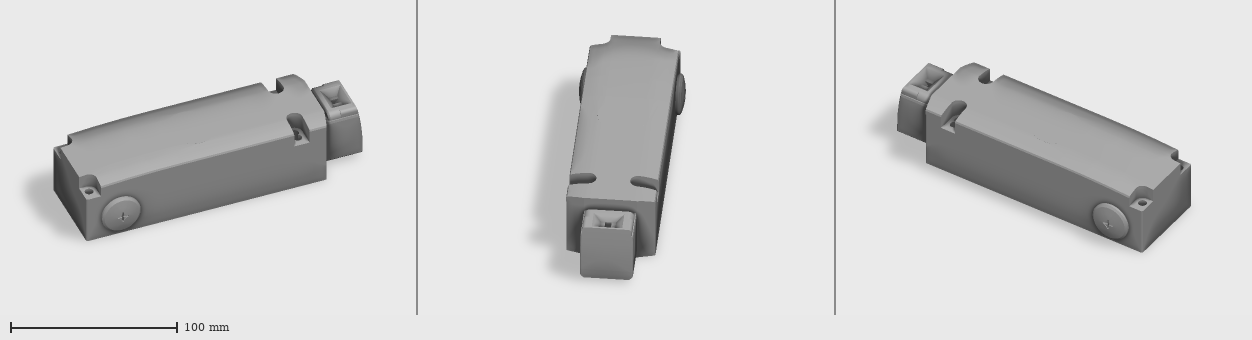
import cadquery as cq

TOTAL_LENGTH = 184.1
HEIGHT = 43.8

BODY_WIDTH = 54.0
BODY_LENGTH = 158.9
HALF_WIDTH = BODY_WIDTH / 2
REAR_FLAT_HALF = 16.0
REAR_SIDE_Y = 156.0
HOUSING_EDGE_FILLET = 1.1

CROWN_FLAT_HALF = 12.5
CROWN_DROP = 2.2
EDGE_BEVEL_WIDTH = 0.5
EDGE_BEVEL_DROP = 1.1
BEND_Y = 61.3
TOP_FRONT_DROP = 2.8
FRONT_TURN = 6.0
PARTING_Z = 37.7
PARTING_FRONT_DROP = 5.0

PAD_Y = 78.8
PAD_HALF_LENGTH = 9.0
PAD_REACH = 15.6

POCKET_FLOOR_Z = 32.2
POCKET_RADIUS = 5.0
HOLE_DIAMETER = 5.3
HOLE_SPACING_ACROSS = 40.0
OUTER_HOLE_X = HOLE_SPACING_ACROSS / 2
HOLE_PITCH = 4.8
INNER_HOLE_X = OUTER_HOLE_X - HOLE_PITCH
FRONT_HOLE_Y = 4.5
REAR_HOLE_Y = 140.0

HEAD_HALF_WIDTH = 16.0
HEAD_BOTTOM_Z = 2.8
HEAD_SHOULDER_Z = 34.5
HEAD_TOP_Z = 38.8
HEAD_BACK_BEND_Z = 9.2
HEAD_TOP_BACK_Y = 180.6
HEAD_BACK_FILLET = 1.1
HEAD_UPPER_BEVEL_WIDTH = 0.4
HEAD_UPPER_BEVEL_DROP = 1.7
HEAD_LOWER_BEVEL = 2.2
CAP_HALF_WIDTH = 15.1
CAP_FRONT_Y = 162.2
CAP_FRONT_BEVEL = 1.1
CAP_STEP_Y = 170.1
CAP_FRONT_RADIUS = 3.9
CAP_REAR_RADIUS = 2.2
NECK_PAD_HALF_WIDTH = 13.6
NECK_PAD_HEIGHT = 0.4

FUNNEL_TOP_HALF = 9.2
FUNNEL_TOP_FRONT_Y = 166.0
FUNNEL_TOP_BACK_Y = 179.3
FUNNEL_LEDGE_HALF = 4.6
FUNNEL_LEDGE_FRONT_Y = 170.1
FUNNEL_LEDGE_BACK_Y = 175.6
FUNNEL_DEPTH = 3.7
KEY_SLOT_WIDTH = 3.9
KEY_SLOT_BACK_Y = 173.0

PLUG_Y = 21.7
PLUG_Z = 16.0
PLUG_HEIGHT = 5.2
PLUG_NECK_RADIUS = 11.8
PLUG_NECK_HEIGHT = 0.7
PLUG_RIM_RADIUS = 12.5
PLUG_RIM_TOP = 2.2
PLUG_DOME_RADIUS = 11.2
PLUG_DOME_BASE = 3.3
CROSS_LENGTH = 7.0
CROSS_WIDTH = 1.1
CROSS_DEPTH = 1.8
DIAMOND_LENGTH = 6.3
DIAMOND_DEPTH = 0.5


def arc_radius(run, drop):
    """Radius of an arc that starts level and falls by `drop` over `run`."""
    return (run**2 + drop**2) / (2 * drop)


def arc_drop(radius, run):
    """Fall of such an arc at a distance `run` from its level start."""
    return radius - (radius**2 - run**2) ** 0.5


def box(x0, x1, y0, y1, z0, z1):
    return cq.Workplane("XY").box(x1 - x0, y1 - y0, z1 - z0, centered=False).translate((x0, y0, z0))


def body_prism():
    """Full-height prism on the body outline, whose rear corners are cut back at a slant."""
    outline = [
        (-HALF_WIDTH, 0),
        (HALF_WIDTH, 0),
        (HALF_WIDTH, REAR_SIDE_Y),
        (REAR_FLAT_HALF, BODY_LENGTH),
        (-REAR_FLAT_HALF, BODY_LENGTH),
        (-HALF_WIDTH, REAR_SIDE_Y),
    ]
    return cq.Workplane("XY").polyline(outline).close().extrude(HEIGHT)


def below_parting():
    """Everything below the parting surface, which is level at the rear and falls to the front."""
    radius = arc_radius(BEND_Y, PARTING_FRONT_DROP)
    middle_z = PARTING_Z - arc_drop(radius, BEND_Y / 2)
    return (
        cq.Workplane("YZ")
        .moveTo(0, 0)
        .lineTo(BODY_LENGTH, 0)
        .lineTo(BODY_LENGTH, PARTING_Z)
        .lineTo(BEND_Y, PARTING_Z)
        .threePointArc((BEND_Y / 2, middle_z), (0, PARTING_Z - PARTING_FRONT_DROP))
        .close()
        .extrude(HALF_WIDTH, both=True)
    )


def crown_section():
    """Cross-section under the lid top: flat middle, falling arcs and bevelled long edges."""
    edge_x = HALF_WIDTH - EDGE_BEVEL_WIDTH
    edge_z = HEIGHT - CROWN_DROP
    run = edge_x - CROWN_FLAT_HALF
    middle_x = CROWN_FLAT_HALF + run / 2
    middle_z = HEIGHT - arc_drop(arc_radius(run, CROWN_DROP), run / 2)
    return (
        cq.Workplane("XZ", origin=(0, BEND_Y, 0))
        .moveTo(-HALF_WIDTH, 0)
        .lineTo(HALF_WIDTH, 0)
        .lineTo(HALF_WIDTH, edge_z - EDGE_BEVEL_DROP)
        .lineTo(edge_x, edge_z)
        .threePointArc((middle_x, middle_z), (CROWN_FLAT_HALF, HEIGHT))
        .lineTo(-CROWN_FLAT_HALF, HEIGHT)
        .threePointArc((-middle_x, middle_z), (-edge_x, edge_z))
        .lineTo(-HALF_WIDTH, edge_z - EDGE_BEVEL_DROP)
        .close()
    )


def crown_envelope():
    """The crown section run straight to the rear and round a large arc to the front."""
    radius = arc_radius(BEND_Y, TOP_FRONT_DROP)
    axis_z = HEIGHT - radius
    rear = crown_section().extrude(-(BODY_LENGTH - BEND_Y))
    front = crown_section().revolve(FRONT_TURN, (0, axis_z, 0), (1, axis_z, 0))
    return rear.union(front)


def lid_pads():
    """Two level arc-edged pads, one on each side of the flat strip."""
    pads = (
        cq.Workplane("XY", origin=(0, 0, HEIGHT - CROWN_DROP))
        .moveTo(CROWN_FLAT_HALF, PAD_Y - PAD_HALF_LENGTH)
        .threePointArc((PAD_REACH, PAD_Y), (CROWN_FLAT_HALF, PAD_Y + PAD_HALF_LENGTH))
        .close()
        .extrude(CROWN_DROP)
    )
    return pads.union(pads.mirror("YZ"))


def screw_pocket(hole_x, hole_y, opens_front):
    """Pocket rounded about a hole and open to the +X side, and to the front end if asked."""
    radius = POCKET_RADIUS
    pocket = (
        cq.Workplane("XY", origin=(hole_x, hole_y, POCKET_FLOOR_Z))
        .circle(radius)
        .extrude(HEIGHT - POCKET_FLOOR_Z)
    )
    front_y = 0 if opens_front else hole_y - radius
    pocket = pocket.union(box(hole_x, HALF_WIDTH, front_y, hole_y + radius, POCKET_FLOOR_Z, HEIGHT))
    if opens_front:
        pocket = pocket.union(box(hole_x - radius, hole_x, 0, hole_y, POCKET_FLOOR_Z, HEIGHT))
    return pocket


def mounting_cuts():
    """Pockets and through holes of both sides."""
    hole_places = [
        (OUTER_HOLE_X, FRONT_HOLE_Y),
        (OUTER_HOLE_X, REAR_HOLE_Y),
        (INNER_HOLE_X, REAR_HOLE_Y),
    ]
    front_pocket = screw_pocket(OUTER_HOLE_X, FRONT_HOLE_Y, opens_front=True)
    rear_pocket = screw_pocket(INNER_HOLE_X, REAR_HOLE_Y, opens_front=False)
    cuts = front_pocket.union(rear_pocket)
    for x, y in hole_places:
        cuts = cuts.union(cq.Workplane("XY", origin=(x, y, 0)).circle(HOLE_DIAMETER / 2).extrude(HEIGHT))
    return cuts.union(cuts.mirror("YZ"))


def head_profile():
    """Side profile of the head, with its back wall leaning in along an arc, as a wide slab."""
    rise = HEAD_TOP_Z - HEAD_BACK_BEND_Z
    lean = TOTAL_LENGTH - HEAD_TOP_BACK_Y
    middle_y = TOTAL_LENGTH - arc_drop(arc_radius(rise, lean), rise / 2)
    slab = (
        cq.Workplane("YZ")
        .moveTo(BODY_LENGTH, HEAD_BOTTOM_Z)
        .lineTo(TOTAL_LENGTH, HEAD_BOTTOM_Z)
        .lineTo(TOTAL_LENGTH, HEAD_BACK_BEND_Z)
        .threePointArc((middle_y, HEAD_BACK_BEND_Z + rise / 2), (HEAD_TOP_BACK_Y, HEAD_TOP_Z))
        .lineTo(BODY_LENGTH, HEAD_TOP_Z)
        .close()
        .extrude(HEAD_HALF_WIDTH, both=True)
    )
    back_corners = slab.faces("<X or >X").edges("(not #Z) and (not <Y)")
    return back_corners.fillet(HEAD_BACK_FILLET)


def head_block():
    """Section of the lower head, bevelled along its long edges, over the whole head length."""
    section = [
        (HEAD_HALF_WIDTH - HEAD_LOWER_BEVEL, HEAD_BOTTOM_Z),
        (HEAD_HALF_WIDTH, HEAD_BOTTOM_Z + HEAD_LOWER_BEVEL),
        (HEAD_HALF_WIDTH, HEAD_SHOULDER_Z - HEAD_UPPER_BEVEL_DROP),
        (HEAD_HALF_WIDTH - HEAD_UPPER_BEVEL_WIDTH, HEAD_SHOULDER_Z),
    ]
    mirrored = [(-x, z) for x, z in reversed(section)]
    rear_wall = cq.Workplane("XZ", origin=(0, BODY_LENGTH, 0))
    return rear_wall.polyline(section + mirrored).close().extrude(BODY_LENGTH - TOTAL_LENGTH)


def cap_piece(front_y, back_y, edge_radius):
    """Stretch of the raised cap with rounded long edges."""
    piece = box(-CAP_HALF_WIDTH, CAP_HALF_WIDTH, front_y, back_y, HEAD_SHOULDER_Z, HEAD_TOP_Z)
    return piece.edges("|Y and >Z").fillet(edge_radius)


def key_opening():
    """Funnel with a level ledge, and a slot through the head that carries on the funnel's back slope."""
    top_y = (FUNNEL_TOP_FRONT_Y + FUNNEL_TOP_BACK_Y) / 2
    ledge_y = (FUNNEL_LEDGE_FRONT_Y + FUNNEL_LEDGE_BACK_Y) / 2
    funnel = (
        cq.Workplane("XY", origin=(0, top_y, HEAD_TOP_Z))
        .rect(2 * FUNNEL_TOP_HALF, FUNNEL_TOP_BACK_Y - FUNNEL_TOP_FRONT_Y)
        .workplane(offset=-FUNNEL_DEPTH)
        .center(0, ledge_y - top_y)
        .rect(2 * FUNNEL_LEDGE_HALF, FUNNEL_LEDGE_BACK_Y - FUNNEL_LEDGE_FRONT_Y)
        .loft(ruled=True)
    )
    ledge_z = HEAD_TOP_Z - FUNNEL_DEPTH
    back_slope = FUNNEL_DEPTH / (FUNNEL_TOP_BACK_Y - FUNNEL_LEDGE_BACK_Y)
    slope_end_z = ledge_z - back_slope * (FUNNEL_LEDGE_BACK_Y - KEY_SLOT_BACK_Y)
    slot_profile = [
        (FUNNEL_LEDGE_FRONT_Y, HEAD_BOTTOM_Z),
        (KEY_SLOT_BACK_Y, HEAD_BOTTOM_Z),
        (KEY_SLOT_BACK_Y, slope_end_z),
        (FUNNEL_LEDGE_BACK_Y, ledge_z),
        (FUNNEL_LEDGE_FRONT_Y, ledge_z),
    ]
    slot = cq.Workplane("YZ").polyline(slot_profile).close().extrude(KEY_SLOT_WIDTH / 2, both=True)
    return funnel.union(slot)


def make_head():
    front_cap = cap_piece(CAP_FRONT_Y, CAP_STEP_Y, CAP_FRONT_RADIUS)
    front_cap = front_cap.faces("<Y").edges(">Z").chamfer(CAP_FRONT_BEVEL)
    rear_cap = cap_piece(CAP_STEP_Y, TOTAL_LENGTH, CAP_REAR_RADIUS)
    neck_pad = box(
        -NECK_PAD_HALF_WIDTH,
        NECK_PAD_HALF_WIDTH,
        BODY_LENGTH,
        CAP_FRONT_Y,
        HEAD_SHOULDER_Z,
        HEAD_SHOULDER_Z + NECK_PAD_HEIGHT,
    )
    full_head = head_block().union(front_cap).union(rear_cap).union(neck_pad)
    solid_head = full_head.intersect(head_profile())
    return solid_head.cut(key_opening())


def make_housing():
    """Housing with its flush lid and the head on its rear wall, as one solid."""
    rounded_prism = body_prism().edges("|Z").edges("<X or >X").fillet(HOUSING_EDGE_FILLET)
    base = rounded_prism.intersect(below_parting())
    lid = body_prism().cut(below_parting()).intersect(crown_envelope()).union(lid_pads())
    cuts = mounting_cuts()
    body = base.cut(cuts).union(lid.cut(cuts), clean=False)
    return body.union(make_head(), clean=False)


def make_plug():
    """Domed plug seated on the +X side wall, with a cross recess in its middle."""
    dome_curve = arc_radius(PLUG_DOME_RADIUS, PLUG_HEIGHT - PLUG_DOME_BASE)
    middle_radius = PLUG_DOME_RADIUS / 2
    middle_height = PLUG_HEIGHT - arc_drop(dome_curve, middle_radius)
    plug = (
        cq.Workplane("XY")
        .moveTo(0, 0)
        .lineTo(0, PLUG_NECK_RADIUS)
        .lineTo(PLUG_NECK_HEIGHT, PLUG_NECK_RADIUS)
        .lineTo(PLUG_NECK_HEIGHT, PLUG_RIM_RADIUS)
        .lineTo(PLUG_RIM_TOP, PLUG_RIM_RADIUS)
        .lineTo(PLUG_DOME_BASE, PLUG_DOME_RADIUS)
        .threePointArc((middle_height, middle_radius), (PLUG_HEIGHT, 0))
        .close()
        .revolve(360, (0, 0, 0), (1, 0, 0))
    )
    top = cq.Workplane("YZ", origin=(PLUG_HEIGHT, 0, 0))
    cross = (
        top.rect(CROSS_LENGTH, CROSS_WIDTH)
        .extrude(-CROSS_DEPTH)
        .union(top.rect(CROSS_WIDTH, CROSS_LENGTH).extrude(-CROSS_DEPTH))
    )
    diamond = top.polygon(4, DIAMOND_LENGTH).extrude(-DIAMOND_DEPTH)
    return plug.cut(cross).cut(diamond).translate((HALF_WIDTH, PLUG_Y, PLUG_Z))


housing = make_housing()
right_plug = make_plug()
plugs = [right_plug, right_plug.mirror("YZ")]

result = cq.Compound.makeCompound([housing.val(), *[plug.val() for plug in plugs]])